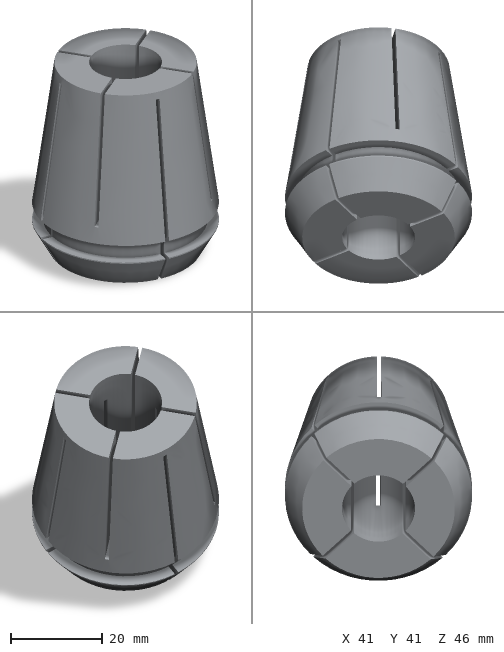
import cadquery as cq
import math

length = 46.0
max_radius = 20.5
nose_radius = 15.65
bore_radius = 8.0

cone_base_z = 11.2
groove_base_z = 7.0
groove_radius = 18.1
flange_rim_height = 0.28
base_radius = 16.75

slot_width = 0.9
saw_radius = 20.0
nut_saw_center_radius = 23.85
nut_saw_center_z = 25.95
nose_saw_center_radius = 19.95
nose_slot_floor_z = 15.0
nose_saw_center_z = nose_slot_floor_z + saw_radius
slot_reach = 27.6


def make_body():
    """Revolve the tapered, grooved outline around the bore axis."""
    outline = [
        (bore_radius, 0),
        (base_radius, 0),
        (max_radius, groove_base_z - flange_rim_height),
        (max_radius, groove_base_z),
        (groove_radius, groove_base_z),
        (groove_radius, cone_base_z),
        (max_radius, cone_base_z),
        (nose_radius, length),
        (bore_radius, length),
    ]
    return cq.Workplane("XZ").polyline(outline).close().revolve(360, (0, 0), (0, 1))


def make_slot(center_radius, center_z, open_z, angle):
    """Make a slot cutter on one side of the axis, from its open end to its arc end.

    The quarter arc starts inside the bore and levels out above or below the saw center.
    """
    side = 1 if center_z > open_z else -1
    inner_radius = center_radius - saw_radius
    end_z = center_z + side * saw_radius
    arc_offset = saw_radius * math.sqrt(0.5)
    arc_middle = (center_radius - arc_offset, center_z + side * arc_offset)
    cutter = (
        cq.Workplane("XZ")
        .moveTo(inner_radius, open_z)
        .lineTo(inner_radius, center_z)
        .threePointArc(arc_middle, (center_radius, end_z))
        .lineTo(slot_reach, end_z)
        .lineTo(slot_reach, open_z)
        .close()
        .extrude(slot_width / 2, both=True)
    )
    return cutter.rotate((0, 0, 0), (0, 0, 1), angle)


result = make_body()

for axis_angle in (0, 90, 180, 270):
    result = result.cut(make_slot(nut_saw_center_radius, nut_saw_center_z, 0, axis_angle))
    result = result.cut(make_slot(nose_saw_center_radius, nose_saw_center_z, length, axis_angle + 45))